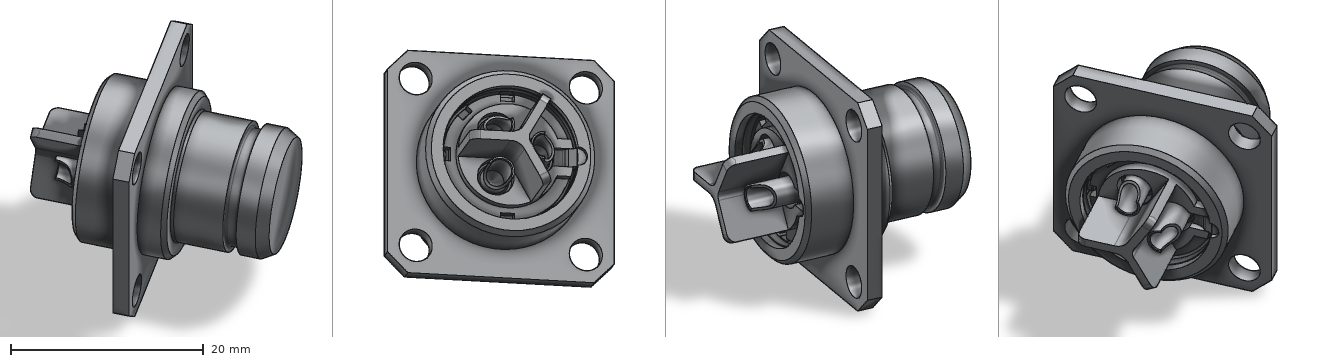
import cadquery as cq
import math

shell_front = 6.15
flange_front = 11.58
flange_thickness = 1.75
shell_rear = 16.37
groove_front = 22.0
groove_rear = 23.45
nose_start = 25.51
overall_length = 26.8

flange_side = 24.0
flange_corner = 2.15
screw_hole_pitch = 18.0
screw_hole_radius = 1.75
shell_radius = 8.95
shell_chamfer = 0.5
neck_radius = 6.97
neck_foot_radius = 7.1
neck_foot_length = 0.32
groove_radius = 6.27
groove_fillet = 0.25
nose_radius = 6.22

mouth_radius = 7.18
mouth_length = 0.85
bore_radius = 7.1
snap_groove_length = 0.9
snap_groove_depth = 0.21

ring_face = shell_front + 1.88
ring_radius = 6.8
gap_floor = ring_face + 1.07
gap_floor_tilt = 12.0
boss_face = 6.97
boss_radius = 5.47
boss_key_width = 4.02
web_thickness = 1.0
web_tip_fillet = 1.0
arm_spacing = 120

notch_width = 1.45
notch_inner_radius = 6.03
notch_angles = [0, 45, 90, 180]
peg_radius = 0.6
peg_step_radius = 0.54
peg_tip_radius = 0.5
peg_inner_end = 6.45
peg_step = 6.65
peg_root_overlap = 0.27
peg_axis_station = ring_face + 0.88

keyway_width = 1.95
keyway_end_depth = 0.54
keyway_end_station = shell_front + keyway_end_depth
keyway_rise = 1.05
keyway_start_station = keyway_end_station + keyway_rise
keyway_bend_start = 4.93
keyway_bend_end = 5.74
keyway_bend_rise = 0.21
keyway_step_start = 5.98
keyway_step_start_rise = 0.35
keyway_step_end = 6.25
keyway_step_end_rise = 0.65
keyway_bed = gap_floor + 0.54

contact_circle = 2.9
contact_radius = 1.47
contact_bore_radius = 1.18
contact_foot_radius = 1.65
contact_foot_chamfer = 0.2
contact_well_radius = 1.93
contact_well_floor = 8.3
contact_seat_end = contact_well_floor + 3.75
cup_drill_depth = 4.3
drill_half_angle = 59.0
cup_mouth_chamfer = 0.1
cup_relief_radius = 2.47
long_tip = 2.7
short_tip = 4.37
contacts_layout = [
    (0, long_tip, 0.96),
    (arm_spacing, short_tip, 1.7),
    (2 * arm_spacing, short_tip, 1.7),
]


def axial_cylinder(radius, start, end, y=0.0):
    """Cylinder along X between two stations, on the axis or shifted along Y."""
    return cq.Workplane("YZ", origin=(start, y, 0)).circle(radius).extrude(end - start)


def block(x_range, y_range, z_range):
    """Box given by its extent along each axis."""
    size = [high - low for low, high in (x_range, y_range, z_range)]
    corner = cq.Vector(x_range[0], y_range[0], z_range[0])
    return cq.Workplane(cq.Solid.makeBox(*size, corner))


def turn(body, angle):
    """Turn a body about the connector axis."""
    return body.rotate((0, 0, 0), (1, 0, 0), angle)


def make_shell():
    """Turned shell with its rear neck, seal groove and tapered nose, solid inside."""
    foot_end = shell_rear + neck_foot_length
    outline = (
        cq.Workplane("XY")
        .moveTo(shell_front, 0)
        .lineTo(shell_front, shell_radius - shell_chamfer)
        .lineTo(shell_front + shell_chamfer, shell_radius)
        .lineTo(shell_rear - shell_chamfer, shell_radius)
        .lineTo(shell_rear, shell_radius - shell_chamfer)
        .lineTo(shell_rear, neck_foot_radius)
        .lineTo(foot_end, neck_radius)
        .lineTo(groove_front, neck_radius)
        .lineTo(groove_front, groove_radius + groove_fillet)
        .radiusArc((groove_front + groove_fillet, groove_radius), -groove_fillet)
        .lineTo(groove_rear - groove_fillet, groove_radius)
        .radiusArc((groove_rear, groove_radius + groove_fillet), -groove_fillet)
        .lineTo(groove_rear, neck_radius)
        .lineTo(nose_start, neck_radius)
        .lineTo(overall_length, nose_radius)
        .lineTo(overall_length, 0)
        .close()
    )
    return outline.revolve(360, (0, 0, 0), (1, 0, 0))


def make_flange():
    """Square mounting flange with cut corners and four screw holes."""
    return (
        cq.Workplane("YZ", origin=(flange_front, 0, 0))
        .rect(flange_side, flange_side)
        .extrude(flange_thickness)
        .edges("|X")
        .chamfer(flange_corner)
        .faces("<X")
        .workplane(origin=(flange_front, 0, 0))
        .rect(screw_hole_pitch, screw_hole_pitch, forConstruction=True)
        .vertices()
        .hole(2 * screw_hole_radius)
    )


def gap_floor_station(radius):
    """Station of the floor behind the ring's face, which recedes from the notches' inner wall outward."""
    return gap_floor + (radius - notch_inner_radius) * math.tan(math.radians(gap_floor_tilt))


def make_bore():
    """Space in front of the insert ring, with a narrow gap around the ring's rim."""
    mouth_end = shell_front + mouth_length
    groove_end = mouth_end + snap_groove_length
    groove_middle = (mouth_end + snap_groove_length / 2, bore_radius + snap_groove_depth)
    outline = (
        cq.Workplane("XY")
        .moveTo(shell_front, 0)
        .lineTo(shell_front, mouth_radius)
        .lineTo(mouth_end, mouth_radius)
        .lineTo(mouth_end, bore_radius)
        .threePointArc(groove_middle, (groove_end, bore_radius))
        .lineTo(gap_floor_station(bore_radius), bore_radius)
        .lineTo(gap_floor_station(ring_radius), ring_radius)
        .lineTo(ring_face, ring_radius)
        .lineTo(ring_face, 0)
        .close()
    )
    return outline.revolve(360, (0, 0, 0), (1, 0, 0))


def make_boss():
    """Round boss of the insert with a wide key reaching -Y."""
    key = block((boss_face, ring_face), (-shell_radius, 0), (-boss_key_width / 2, boss_key_width / 2))
    key = key.intersect(axial_cylinder(ring_radius, boss_face, ring_face))
    return axial_cylinder(boss_radius, boss_face, ring_face).union(key)


def make_web_corner(radius):
    """Filler with a concave face for the corner between two arms, facing -Y."""
    half_angle = math.radians(arm_spacing / 2)
    corner = -web_thickness / 2 / math.sin(half_angle)
    tangent_length = radius / math.tan(half_angle)
    tangent_y = corner - tangent_length * math.cos(half_angle)
    tangent_z = tangent_length * math.sin(half_angle)
    arc_middle_y = corner - radius / math.sin(half_angle) + radius
    return (
        cq.Workplane("YZ")
        .moveTo(0, 0)
        .lineTo(tangent_y, tangent_z)
        .threePointArc((arc_middle_y, 0), (tangent_y, -tangent_z))
        .close()
        .extrude(boss_face)
    )


def make_web():
    """Three-armed separator standing in front of the boss."""
    arm = (
        block((0, boss_face), (0, boss_radius), (-web_thickness / 2, web_thickness / 2))
        .edges("<X and >Y")
        .fillet(web_tip_fillet)
    )
    web = arm
    for angle in (arm_spacing, 2 * arm_spacing):
        web = web.union(turn(arm, angle))
    for angle, _, radius in contacts_layout:
        web = web.union(turn(make_web_corner(radius), angle))
    return web.intersect(axial_cylinder(boss_radius, 0, boss_face))


def make_notch(angle):
    """Notch in the ring's rim with a receding floor, at an angle from +Z toward +Y."""
    notch = (
        cq.Workplane("XZ", origin=(0, notch_width / 2, 0))
        .moveTo(ring_face, notch_inner_radius)
        .lineTo(gap_floor, notch_inner_radius)
        .lineTo(gap_floor_station(bore_radius), bore_radius)
        .lineTo(ring_face, bore_radius)
        .close()
        .extrude(notch_width)
    )
    return turn(notch, -angle)


def make_peg():
    """Stepped radial peg from the shell wall into the notch on +Y."""
    start = cq.Vector(peg_axis_station, peg_inner_end, 0)
    outward = cq.Vector(0, 1, 0)
    tip = cq.Solid.makeCone(peg_tip_radius, peg_step_radius, peg_step - peg_inner_end, start, outward)
    root_start = cq.Vector(peg_axis_station, peg_step, 0)
    root = cq.Solid.makeCylinder(peg_radius, mouth_radius + peg_root_overlap - peg_step, root_start, outward)
    return cq.Workplane(root).union(cq.Workplane(tip))


def make_keyway_prism(side):
    """Prism between the keyway floor and a plane at station `side`, in front of or behind it."""
    bend_width = keyway_bend_end - keyway_bend_start
    bend_radius = (bend_width**2 + keyway_bend_rise**2) / (2 * keyway_bend_rise)
    bend_finish = (keyway_start_station - keyway_bend_rise, -keyway_bend_end)
    return (
        cq.Workplane("XY", origin=(0, 0, -keyway_width / 2))
        .moveTo(side, -contact_circle)
        .lineTo(keyway_start_station, -contact_circle)
        .lineTo(keyway_start_station, -keyway_bend_start)
        .radiusArc(bend_finish, bend_radius)
        .lineTo(keyway_start_station - keyway_step_start_rise, -keyway_step_start)
        .lineTo(keyway_start_station - keyway_step_end_rise, -keyway_step_end)
        .lineTo(keyway_end_station, -bore_radius)
        .lineTo(side, -bore_radius)
        .close()
        .extrude(keyway_width)
    )


def make_keyway_end():
    """Round-ended recess where the keyway leaves the front of the shell."""
    return axial_cylinder(keyway_width / 2, shell_front, keyway_end_station, -bore_radius)


def make_contact_seat():
    """Well in the boss and the blind seat behind it that holds a contact, on -Y."""
    well = axial_cylinder(contact_well_radius, boss_face, contact_well_floor, -contact_circle)
    seat = axial_cylinder(contact_foot_radius, contact_well_floor, contact_seat_end, -contact_circle)
    return well.union(seat)


def make_housing():
    """Shell, flange and insert as one body."""
    housing = make_shell().union(make_flange()).cut(make_bore())
    housing = housing.union(make_boss()).union(make_web())
    for angle in notch_angles:
        housing = housing.cut(make_notch(angle))
    housing = housing.union(make_peg())
    housing = housing.union(make_keyway_prism(keyway_bed))
    housing = housing.cut(make_keyway_prism(shell_front)).cut(make_keyway_end())
    for angle, _, _ in contacts_layout:
        housing = housing.cut(turn(make_contact_seat(), angle))
    return housing


def make_contact(angle, tip):
    """Solder-cup contact with its cup open outward, turned to its place about the axis."""
    foot_start = contact_well_floor - contact_foot_chamfer
    drill_end = tip + cup_drill_depth
    point_end = drill_end + contact_bore_radius / math.tan(math.radians(drill_half_angle))
    turned = (
        cq.Workplane("XY")
        .moveTo(point_end, 0)
        .lineTo(drill_end, contact_bore_radius)
        .lineTo(tip + cup_mouth_chamfer, contact_bore_radius)
        .lineTo(tip, contact_bore_radius + cup_mouth_chamfer)
        .lineTo(tip, contact_radius)
        .lineTo(foot_start, contact_radius)
        .lineTo(contact_well_floor, contact_foot_radius)
        .lineTo(contact_seat_end, contact_foot_radius)
        .lineTo(contact_seat_end, 0)
        .close()
        .revolve(360, (0, 0, 0), (1, 0, 0))
    )
    relief_length = math.sqrt(cup_relief_radius**2 - (cup_relief_radius - contact_radius) ** 2)
    relief = (
        cq.Workplane("XY", origin=(0, 0, -contact_radius))
        .moveTo(tip, 0)
        .radiusArc((tip + relief_length, -contact_radius), cup_relief_radius)
        .lineTo(tip, -contact_radius)
        .close()
        .extrude(2 * contact_radius)
    )
    return turn(turned.cut(relief).translate((0, -contact_circle, 0)), angle)


housing = make_housing()
contacts = [make_contact(angle, tip) for angle, tip, _ in contacts_layout]
bodies = [housing, *contacts]
result = cq.Compound.makeCompound([body.solids().val() for body in bodies])